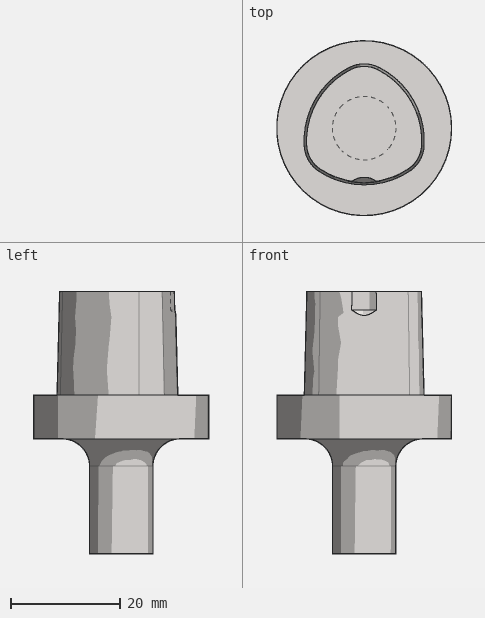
import cadquery as cq
import math

total_height = 48.0
flange_thickness = 8.0
shank_height = 18.95
shank_base_z = total_height - shank_height
flange_base_z = shank_base_z - flange_thickness

stem_diameter = 11.6
flange_diameter = 32.0
stem_fillet = 5.0

lobe_reach = 11.75
flank_reach = 10.35
lobe_radius = 5.95
half_taper_per_length = 1 / 40
taper_angle = math.degrees(math.atan(half_taper_per_length))
lobe_directions = (90, 210, 330)
half_pitch = 60

notch_radius = 3.6
notch_wall_y = -9.0
notch_wall_depth = 3.35


def polar(distance, degrees):
    """Point at a given distance and direction from the axis."""
    angle = math.radians(degrees)
    return (distance * math.cos(angle), distance * math.sin(angle))


def lobed_outline(workplane):
    """Closed outline of three lobe arcs joined tangentially by three flank arcs."""
    lobe_center = lobe_reach - lobe_radius
    gap = flank_reach - lobe_radius
    cosine = math.cos(math.radians(half_pitch))
    flank_offset = (lobe_center**2 - gap**2) / (2 * (gap - lobe_center * cosine))
    tangent_angle = math.atan2(
        lobe_center * math.sin(math.radians(half_pitch)),
        lobe_center * cosine + flank_offset,
    )
    joint_x = lobe_center + lobe_radius * math.cos(math.radians(half_pitch) - tangent_angle)
    joint_y = lobe_radius * math.sin(math.radians(half_pitch) - tangent_angle)
    joint_reach = math.hypot(joint_x, joint_y)
    joint_angle = math.degrees(math.atan2(joint_y, joint_x))

    outline = workplane.moveTo(*polar(joint_reach, lobe_directions[0] - joint_angle))
    for direction in lobe_directions:
        next_lobe = direction + 2 * half_pitch
        outline = outline.threePointArc(
            polar(lobe_reach, direction),
            polar(joint_reach, direction + joint_angle),
        )
        outline = outline.threePointArc(
            polar(flank_reach, direction + half_pitch),
            polar(joint_reach, next_lobe - joint_angle),
        )
    return outline.close()


def make_stem_and_flange():
    """Stem flaring through a concave fillet into the flange, revolved about Z."""
    stem_radius = stem_diameter / 2
    flange_radius = flange_diameter / 2
    fillet_base_z = flange_base_z - stem_fillet
    fillet_center_x = stem_radius + stem_fillet
    fillet_mid = stem_fillet * math.sqrt(0.5)
    return (
        cq.Workplane("XZ")
        .lineTo(stem_radius, 0)
        .lineTo(stem_radius, fillet_base_z)
        .threePointArc(
            (fillet_center_x - fillet_mid, fillet_base_z + fillet_mid),
            (fillet_center_x, flange_base_z),
        )
        .lineTo(flange_radius, flange_base_z)
        .lineTo(flange_radius, shank_base_z)
        .lineTo(0, shank_base_z)
        .close()
        .revolve(360, (0, 0), (0, 1))
    )


def make_shank():
    """Lobed shank narrowing towards the top."""
    base = cq.Workplane("XY").workplane(offset=shank_base_z)
    return lobed_outline(base).extrude(shank_height, taper=taper_angle)


def make_notch():
    """Drill-shaped cutter whose axis lies outside the flank."""
    wall_end_z = total_height - notch_wall_depth
    tip_z = wall_end_z - notch_radius
    return (
        cq.Workplane("XZ")
        .moveTo(0, tip_z)
        .lineTo(notch_radius, wall_end_z)
        .lineTo(notch_radius, total_height)
        .lineTo(0, total_height)
        .close()
        .revolve(360, (0, 0), (0, 1))
        .translate((0, notch_wall_y - notch_radius, 0))
    )


result = make_stem_and_flange().union(make_shank()).cut(make_notch())